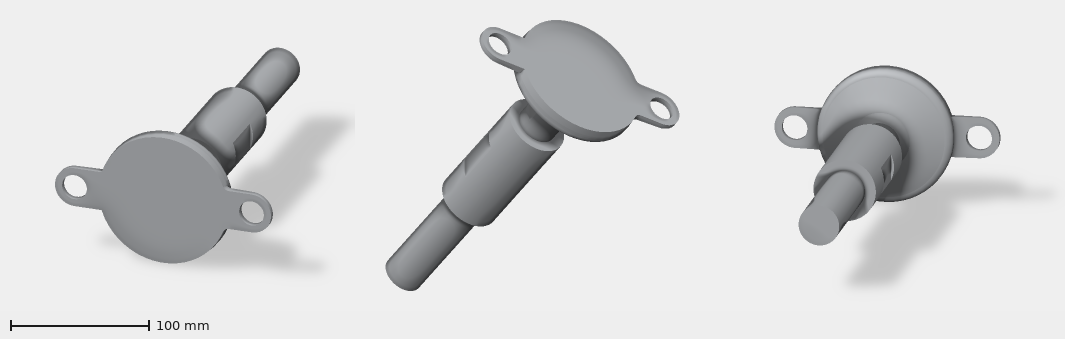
import cadquery as cq
import math

TOTAL_LENGTH = 250.0
ROD_RADIUS = 15.0
ROD_FLAT_START = 37.0
ROD_FLAT_END = 52.0
ROD_ACROSS_FLATS = 24.0

SLEEVE_START = 62.0
SLEEVE_LENGTH = 95.0
SLEEVE_RADIUS = 23.0
SLEEVE_FLAT_LENGTH = 36.5
SLEEVE_ACROSS_FLATS = 41.5

SOLE_RADIUS = 49.5
RIM_RADIUS = 50.0
RIM_BOTTOM = 6.0
RIM_TOP = 9.0
SHOULDER_RADIUS = 45.0
SHOULDER_HEIGHT = 15.8
NECK_RADIUS = 21.0
NECK_HEIGHT = 24.8
FOOT_HEIGHT = 31.0

TOTAL_WIDTH = 166.0
LUG_RADIUS = 15.0
LUG_HOLE_RADIUS = 9.5
LUG_TIP_THICKNESS = 4.0
LUG_ROOT_THICKNESS = 5.5
LUG_FILLET = 5.0

LUG_CENTER = TOTAL_WIDTH / 2 - LUG_RADIUS
MARGIN = 2.5


def cylinder(radius, start, length, x=0.0):
    """Cylinder along +Y, centred on (x, Z = 0)."""
    return cq.Workplane("XZ", origin=(x, start, 0)).circle(radius).extrude(-length)


def cut_flats(body, radius, across, start, end):
    """Mill a pair of parallel flats facing -X and +X."""
    for side in (-1, 1):
        depth = radius - across / 2 + MARGIN
        cutter = cq.Workplane("XY").box(depth, end - start, 2 * radius)
        center_x = side * (across / 2 + depth / 2)
        body = body.cut(cutter.translate((center_x, (start + end) / 2, 0)))
    return body


def make_foot_disc():
    """Revolved pad: rounded rim, sloping top and a conical neck."""
    corner = 1 / math.sqrt(2)
    shoulder_mid = (
        SHOULDER_RADIUS + (RIM_RADIUS - SHOULDER_RADIUS) * corner,
        RIM_TOP + (SHOULDER_HEIGHT - RIM_TOP) * corner,
    )
    profile = (
        cq.Workplane("XY")
        .lineTo(SOLE_RADIUS, 0)
        .lineTo(RIM_RADIUS, RIM_BOTTOM)
        .lineTo(RIM_RADIUS, RIM_TOP)
        .threePointArc(shoulder_mid, (SHOULDER_RADIUS, SHOULDER_HEIGHT))
        .lineTo(NECK_RADIUS, NECK_HEIGHT)
        .lineTo(ROD_RADIUS, FOOT_HEIGHT)
        .lineTo(0, FOOT_HEIGHT)
        .close()
    )
    return profile.revolve(360, (0, 0, 0), (0, 1, 0))


def make_lugs():
    """Two tapered mounting ears; only the +X ear has fillets at its root."""
    ears = (
        cq.Workplane("XZ")
        .slot2D(TOTAL_WIDTH, 2 * LUG_RADIUS)
        .extrude(-LUG_ROOT_THICKNESS)
    )

    fillet_z = LUG_RADIUS + LUG_FILLET
    fillet_x = math.sqrt((SOLE_RADIUS + LUG_FILLET) ** 2 - fillet_z**2)
    touch_ratio = SOLE_RADIUS / (SOLE_RADIUS + LUG_FILLET)
    web = (
        cq.Workplane("XZ")
        .lineTo(fillet_x, 0)
        .lineTo(fillet_x, fillet_z)
        .lineTo(fillet_x * touch_ratio, fillet_z * touch_ratio)
        .close()
        .extrude(-LUG_ROOT_THICKNESS)
        .cut(cylinder(LUG_FILLET, 0, LUG_ROOT_THICKNESS, fillet_x).translate((0, 0, fillet_z)))
    )
    ears = ears.union(web).union(web.mirror("XY"))

    envelope = (
        cq.Workplane("XY")
        .polyline([
            (-TOTAL_WIDTH / 2, 0),
            (TOTAL_WIDTH / 2, 0),
            (TOTAL_WIDTH / 2, LUG_TIP_THICKNESS),
            (SOLE_RADIUS, LUG_ROOT_THICKNESS),
            (-SOLE_RADIUS, LUG_ROOT_THICKNESS),
            (-TOTAL_WIDTH / 2, LUG_TIP_THICKNESS),
        ])
        .close()
        .extrude(RIM_RADIUS, both=True)
    )
    ears = ears.intersect(envelope)
    for side in (-1, 1):
        hole = cylinder(LUG_HOLE_RADIUS, -MARGIN, LUG_ROOT_THICKNESS + 2 * MARGIN, side * LUG_CENTER)
        ears = ears.cut(hole)
    return ears


def make_leveling_foot():
    """Foot pad, ears and rod in one piece."""
    rod = cylinder(ROD_RADIUS, 0, TOTAL_LENGTH)
    rod = cut_flats(rod, ROD_RADIUS, ROD_ACROSS_FLATS, ROD_FLAT_START, ROD_FLAT_END)
    return make_foot_disc().union(rod).union(make_lugs())


def make_sleeve():
    """Sleeve on the rod with wrench flats at mid-length."""
    sleeve = cylinder(SLEEVE_RADIUS, SLEEVE_START, SLEEVE_LENGTH)
    sleeve = sleeve.cut(cylinder(ROD_RADIUS, SLEEVE_START, SLEEVE_LENGTH))
    middle = SLEEVE_START + SLEEVE_LENGTH / 2
    return cut_flats(
        sleeve,
        SLEEVE_RADIUS,
        SLEEVE_ACROSS_FLATS,
        middle - SLEEVE_FLAT_LENGTH / 2,
        middle + SLEEVE_FLAT_LENGTH / 2,
    )


leveling_foot = make_leveling_foot()
sleeve = make_sleeve()
result = cq.Compound.makeCompound([leveling_foot.solids().val(), sleeve.solids().val()])